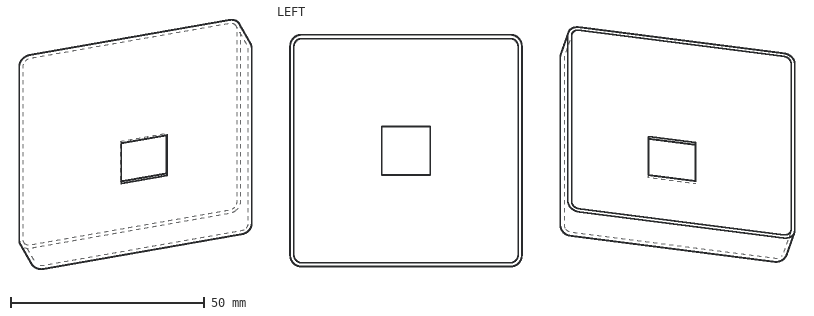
import cadquery as cq

side = 60.0
depth = 12.5
wall = 1.0
outer_radius = 3.0
inner_radius = outer_radius - wall
window_side = 12.5


def rounded_block(width, length, radius):
    """Square block along +X, rounded on its long edges and its +X rim."""
    block = cq.Workplane("YZ").rect(width, width).extrude(length)
    return block.edges("|X or >X").fillet(radius)


outer = rounded_block(side, depth, outer_radius)
cavity = rounded_block(side - 2 * wall, depth - wall, inner_radius)

window = cq.Workplane("YZ").rect(window_side, window_side).extrude(depth)

result = outer.cut(cavity).cut(window)